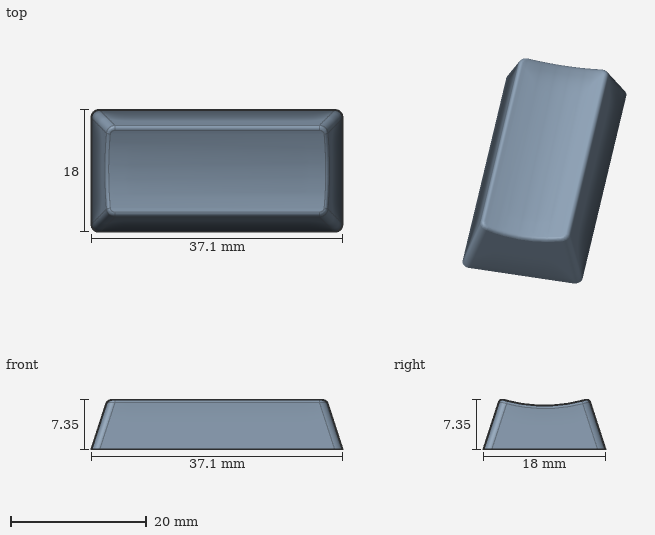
import cadquery as cq
import math

length = 37.05
width = 18.0

draft_angle = 18.0
corner_radius = 1.25

block_height = 7.5

dish_depth = 1.05
rim_radius = 0.6

dish_half_width = width / 2 - block_height * math.tan(math.radians(draft_angle))
dish_radius = (dish_half_width**2 + dish_depth**2) / (2 * dish_depth)
dish_bottom = block_height - dish_depth


def tapered_block():
    """Rectangular block with drafted sides and rounded corner edges."""
    block = cq.Workplane("XY").rect(length, width).extrude(block_height, taper=draft_angle)
    return block.edges("not(#Z or |X or |Y)").fillet(corner_radius)


def dish_cutter():
    """Cylinder along X whose lowest line is the bottom of the dish."""
    section = cq.Workplane("YZ").center(0, dish_bottom + dish_radius).circle(dish_radius)
    return section.extrude(length / 2, both=True)


def round_rim(body):
    """Round the edges all around the dished top face."""
    dish_center = (0, 0, dish_bottom)
    top_face = body.faces(cq.selectors.NearestToPointSelector(dish_center))
    return top_face.edges().fillet(rim_radius)


result = round_rim(tapered_block().cut(dish_cutter()))